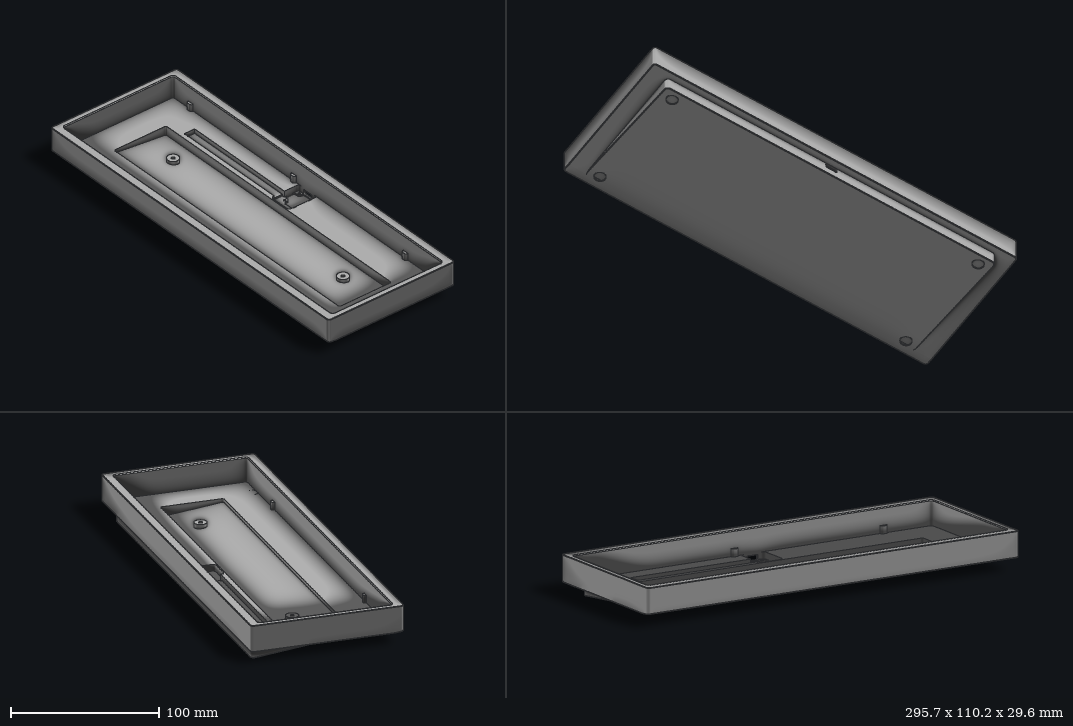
import cadquery as cq
import math

LENGTH = 295.7
WIDTH = 110.2
TOTAL_HEIGHT = 29.56
BODY_HEIGHT = 19.3
BODY_CORNER_RADIUS = 2.3
RIM_OUTER_CHAMFER = 0.4
BOTTOM_CHAMFER = 0.5

END_WALL = 4.9
SIDE_WALL = 7.1
CAVITY_DEPTH = 18.0
CAVITY_CORNER_RADIUS = 2.0
RIM_INNER_CHAMFER = 0.7

BASE_LENGTH = 268.0
BASE_WIDTH = 99.6
BASE_SLOPE = 6.0
BASE_CORNER_RADIUS = 3.0

POCKET_LENGTH = 239.5
POCKET_WIDTH = 45.3
POCKET_CORNER_RADIUS = 1.5
POCKET_FLOOR_THICKNESS = 1.5

BOSS_DIAMETER = 9.0
BOSS_HOLE_DIAMETER = 2.5
BOSS_X = 90.3
BOSS_Y = 4.6
BOSS_TOP_Z = -20.5

FOOT_DIAMETER = 8.3
FOOT_RECESS_DEPTH = 1.0
FOOT_X = 124.5
FOOT_YS = (-45.0, 42.0)

BAY_WIDTH = 18.9
BAY_FRONT_Y = 23.7
BAY_DEPTH = 4.9
BAY_CORNER_RADIUS = 2.2
WELL_EXTRA_DEPTH = 1.2
WELL_FRONT_Y = 30.8
WELL_NARROW_WIDTH = 9.0
WELL_WIDE_FRONT_Y = 35.6
WELL_WIDE_BACK_Y = 44.2
WELL_CORNER_RADIUS = 1.8
SCREW_HOLE_DIAMETER = 1.6
SCREW_HOLE_DEPTH = 3.0
SCREW_X = 6.6
SCREW_YS = (33.2, 45.9)

CHANNEL_START_X = -104.8
CHANNEL_END_X = -11.5
CHANNEL_FRONT_Y = 26.5
CHANNEL_BACK_Y = 35.3
CHANNEL_DEPTH = 3.6

PORT_WIDTH = 9.0
PORT_HEIGHT = 3.8
PORT_CORNER_RADIUS = 0.8
PORT_DROP = 3.4

BACK_PEG_WIDTH = 5.2
FRONT_PEG_WIDTH = 4.5
PEG_REACH = 2.0
PEG_CORNER_RADIUS = 1.9
PEG_HEIGHT = 5.5
BACK_PEG_XS = (-124.4, -14.5, 104.2)
FRONT_PEG_XS = (-BOSS_X, BOSS_X)

FLOOR_Z = -CAVITY_DEPTH
LEDGE_Z = FLOOR_Z - BAY_DEPTH
CAVITY_HALF_WIDTH = WIDTH / 2 - SIDE_WALL
SLOPE_TANGENT = math.tan(math.radians(BASE_SLOPE))
SLOPE_DOWN = cq.Vector(0, -SLOPE_TANGENT, -1)
LOWEST_Y = BASE_WIDTH / 2 - BOTTOM_CHAMFER


def block(x0, x1, y0, y1, z0, z1):
    return cq.Workplane("XY").box(x1 - x0, y1 - y0, z1 - z0, centered=False).translate((x0, y0, z0))


def rounded_block(length, width, z_bottom, z_top, radius):
    blank = block(-length / 2, length / 2, -width / 2, width / 2, z_bottom, z_top)
    return blank.edges("|Z").fillet(radius)


def base_z(y):
    """Height of the sloped underside at a given Y."""
    return -TOTAL_HEIGHT + (LOWEST_Y - y) * SLOPE_TANGENT


def above_slope(offset):
    """Everything between the underside raised by the offset and the rim plane."""
    front_y = -WIDTH / 2
    back_y = WIDTH / 2
    profile = [
        (front_y, 0),
        (back_y, 0),
        (back_y, base_z(back_y) + offset),
        (front_y, base_z(front_y) + offset),
    ]
    return cq.Workplane("YZ").polyline(profile).close().extrude(LENGTH / 2, both=True)


def sloped_block(length, width, z_top, radius):
    """Rounded block with a chamfered underside along the slope."""
    column = rounded_block(length, width, -2 * TOTAL_HEIGHT, z_top, radius)
    column = column.intersect(above_slope(0))
    return column.faces(cq.DirectionMinMaxSelector(SLOPE_DOWN, True)).edges().chamfer(BOTTOM_CHAMFER)


def make_body():
    flat_block = rounded_block(LENGTH, WIDTH, -BODY_HEIGHT, 0, BODY_CORNER_RADIUS)
    flat_block = flat_block.faces("<Z").edges().chamfer(BOTTOM_CHAMFER)
    flat_block = flat_block.faces(">Z").edges().chamfer(RIM_OUTER_CHAMFER)
    return flat_block.intersect(sloped_block(LENGTH, WIDTH, 0, BODY_CORNER_RADIUS))


def make_base():
    return sloped_block(BASE_LENGTH, BASE_WIDTH, FLOOR_Z, BASE_CORNER_RADIUS)


def make_cavity():
    length = LENGTH - 2 * END_WALL
    width = WIDTH - 2 * SIDE_WALL
    cavity = rounded_block(length, width, FLOOR_Z, 0, CAVITY_CORNER_RADIUS)
    flare = rounded_block(
        length + 2 * RIM_INNER_CHAMFER,
        width + 2 * RIM_INNER_CHAMFER,
        -2 * RIM_INNER_CHAMFER,
        0,
        CAVITY_CORNER_RADIUS + RIM_INNER_CHAMFER,
    )
    flare = flare.faces("<Z").edges().chamfer(RIM_INNER_CHAMFER)
    flare = flare.translate((0, 0, RIM_INNER_CHAMFER))
    return cavity.union(flare)


def make_pocket():
    column = rounded_block(
        POCKET_LENGTH, POCKET_WIDTH, -TOTAL_HEIGHT, FLOOR_Z, POCKET_CORNER_RADIUS
    )
    return column.intersect(above_slope(POCKET_FLOOR_THICKNESS))


def make_bosses():
    points = [(-BOSS_X, BOSS_Y), (BOSS_X, BOSS_Y)]
    pocket_floor_z = base_z(BOSS_Y) + POCKET_FLOOR_THICKNESS
    columns = (
        cq.Workplane("XY", origin=(0, 0, BOSS_TOP_Z))
        .pushPoints(points)
        .circle(BOSS_DIAMETER / 2)
        .extrude(-TOTAL_HEIGHT)
        .intersect(above_slope(0))
    )
    holes = (
        cq.Workplane("XY", origin=(0, 0, BOSS_TOP_Z))
        .pushPoints(points)
        .circle(BOSS_HOLE_DIAMETER / 2)
        .extrude(pocket_floor_z - BOSS_TOP_Z)
    )
    return columns.cut(holes)


def make_foot_recesses():
    recesses = cq.Workplane("XY")
    for x in (-FOOT_X, FOOT_X):
        for y in FOOT_YS:
            recess = (
                cq.Workplane("XY")
                .circle(FOOT_DIAMETER / 2)
                .extrude(FOOT_RECESS_DEPTH, both=True)
                .rotate((0, 0, 0), (1, 0, 0), -BASE_SLOPE)
                .translate((x, y, base_z(y)))
            )
            recesses = recesses.add(recess)
    return recesses.combine()


def make_bay():
    half = BAY_WIDTH / 2
    narrow = WELL_NARROW_WIDTH / 2
    well_z = LEDGE_Z - WELL_EXTRA_DEPTH
    bay = block(-half, half, BAY_FRONT_Y, CAVITY_HALF_WIDTH, LEDGE_Z, FLOOR_Z)
    bay = bay.edges("|Z").fillet(BAY_CORNER_RADIUS)
    neck = block(CHANNEL_END_X, 0, CHANNEL_FRONT_Y, CHANNEL_BACK_Y, LEDGE_Z, FLOOR_Z)
    wide_well = block(-half, half, WELL_WIDE_FRONT_Y, WELL_WIDE_BACK_Y, well_z, LEDGE_Z)
    long_well = block(-narrow, narrow, WELL_FRONT_Y, CAVITY_HALF_WIDTH, well_z, LEDGE_Z)
    well = wide_well.union(long_well).edges("|Z").fillet(WELL_CORNER_RADIUS)
    screw_points = [(x, y) for x in (-SCREW_X, SCREW_X) for y in SCREW_YS]
    screw_holes = (
        cq.Workplane("XY", origin=(0, 0, LEDGE_Z))
        .pushPoints(screw_points)
        .circle(SCREW_HOLE_DIAMETER / 2)
        .extrude(-SCREW_HOLE_DEPTH)
    )
    return bay.union(neck).union(well).union(screw_holes)


def make_channel():
    return block(
        CHANNEL_START_X, CHANNEL_END_X, CHANNEL_FRONT_Y, CHANNEL_BACK_Y, FLOOR_Z - CHANNEL_DEPTH, FLOOR_Z
    )


def make_port():
    return (
        cq.Workplane("XZ", origin=(0, WELL_WIDE_BACK_Y, FLOOR_Z - PORT_DROP))
        .rect(PORT_WIDTH, PORT_HEIGHT)
        .extrude(WELL_WIDE_BACK_Y - WIDTH / 2)
        .edges("|Y")
        .fillet(PORT_CORNER_RADIUS)
    )


def make_pegs(xs, width, wall_y):
    """Rounded pegs standing on the floor, half sunk into a long wall."""
    peg = rounded_block(width, 2 * PEG_REACH, FLOOR_Z, FLOOR_Z + PEG_HEIGHT, PEG_CORNER_RADIUS)
    pegs = cq.Workplane("XY")
    for x in xs:
        pegs = pegs.add(peg.translate((x, wall_y, 0)))
    return pegs.combine()


shell = make_body().union(make_base()).cut(make_cavity())
shell = shell.cut(make_pocket()).union(make_bosses())
shell = shell.cut(make_foot_recesses())
shell = shell.cut(make_channel()).cut(make_bay()).cut(make_port())
shell = shell.union(make_pegs(BACK_PEG_XS, BACK_PEG_WIDTH, CAVITY_HALF_WIDTH))
result = shell.union(make_pegs(FRONT_PEG_XS, FRONT_PEG_WIDTH, -CAVITY_HALF_WIDTH))